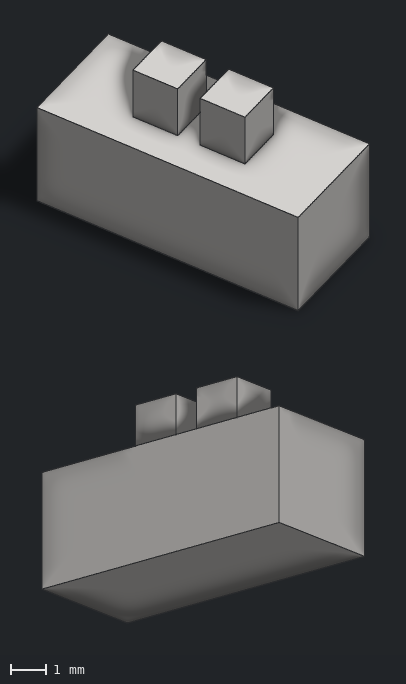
import cadquery as cq

block_length = 8.75
block_width = 3.75
block_height = 3.5

post_side = 1.5
post_height = 1.75
post_pitch = 2.25


def make_block():
    """Rectangular block, centred in X and Y, resting on Z = 0."""
    return cq.Workplane("XY").box(
        block_length, block_width, block_height, centered=(True, True, False)
    )


def add_posts(body):
    """Two square posts on the top face, side by side along X about the centre."""
    post_centers = [(-post_pitch / 2, 0), (post_pitch / 2, 0)]
    return (
        body.faces(">Z")
        .workplane(origin=(0, 0, block_height))
        .pushPoints(post_centers)
        .rect(post_side, post_side)
        .extrude(post_height)
    )


result = add_posts(make_block())